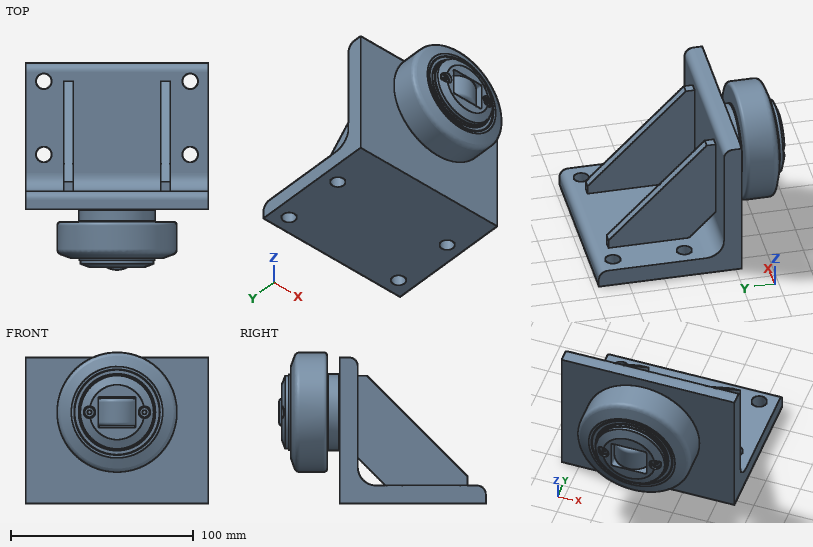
import cadquery as cq
import math


bracket_width = 100.0
bracket_size = 80.0
plate_thickness = 10.0
inner_corner_radius = 10.0
edge_radius = 5.0

rib_thickness = 5.0
rib_inner_x = 24.0
rib_setback = 10.0
rib_reach = bracket_size - rib_setback
rib_end_height = 5.0
rib_corner_cut = 15.0

mount_hole_diameter = 8.38
mount_hole_x = 40.0
mount_hole_y = (30.0, 70.0)

axis_z = 50.0
roller_radius = 65.5 / 2
roller_back = 6.75
roller_width = 20.0
roller_front = roller_back + roller_width
roller_face_radius = 50.0 / 2
roller_cone_angle = 20.0
roller_back_fillet = 2.0
roller_front_fillet = 3.0

neck_radius = 42.0 / 2
neck_core_radius = 41.5 / 2
neck_wall_gap = 0.5
neck_rim_width = 0.3
neck_groove_width = 0.3

seal_seat_radius = 47.0 / 2
seal_outer_radius = 46.3 / 2
seal_inner_radius = 42.1 / 2
seal_gap_depth = 0.5
hub_step_radius = 41.5 / 2
hub_step_projection = 1.1
hub_step_front = roller_front + hub_step_projection
hub_radius = 40.0 / 2
hub_projection = 5.0
hub_front = roller_front + hub_projection
hub_cone_depth = 2.0
hub_cone_start = hub_front - hub_cone_depth
hub_face_radius = 30.0 / 2

screw_x = 15.0
screw_bore_diameter = 6.5
screw_bore_depth = 1.7
screw_floor_diameter = 5.35
screw_floor_depth = 2.0
screw_socket_diameter = 2.3
screw_socket_depth = 1.0

window_width = 20.4
window_height = 17.0
window_corner_radius = 1.0
window_depth = 8.0
side_roller_radius = 22.5 / 2
side_roller_length = 15.0
side_roller_fillet = 2.0
side_roller_projection = 1.4

edge_pick_margin = 0.1


def edge_centred_at(y, z):
    """Selector for the edge whose centre lies at (0, y, z)."""
    margin = edge_pick_margin
    return cq.selectors.BoxSelector(
        (-margin, y - margin, z - margin),
        (margin, y + margin, z + margin),
    )


def disc(diameter, back, front):
    """Round bar on the roller axis, between two distances ahead of the wall."""
    plane = cq.Workplane("XZ", origin=(0, -back, axis_z))
    return plane.circle(diameter / 2).extrude(front - back)


def turned(profile):
    """Revolve a closed (radius, distance ahead of the wall) outline about the roller axis."""
    points = [(radius, -distance) for radius, distance in profile]
    body = cq.Workplane("XY").polyline(points).close().revolve(360, (0, 0, 0), (0, 1, 0))
    return body.translate((0, 0, axis_z))


def make_bracket():
    angle = (
        cq.Workplane("YZ")
        .polyline([
            (0, 0),
            (bracket_size, 0),
            (bracket_size, plate_thickness),
            (plate_thickness, plate_thickness),
            (plate_thickness, bracket_size),
            (0, bracket_size),
        ])
        .close()
        .extrude(bracket_width / 2, both=True)
    )

    angle = angle.edges(edge_centred_at(plate_thickness, plate_thickness)).fillet(inner_corner_radius)
    angle = angle.edges(edge_centred_at(bracket_size, plate_thickness)).fillet(edge_radius)
    angle = angle.edges(edge_centred_at(plate_thickness, bracket_size)).fillet(edge_radius)
    holes = (
        cq.Workplane("XY")
        .pushPoints([(side * mount_hole_x, y) for side in (-1, 1) for y in mount_hole_y])
        .circle(mount_hole_diameter / 2)
        .extrude(plate_thickness)
    )
    return angle.cut(holes)


def make_rib(start_x):
    inner = plate_thickness
    cut_end = inner + rib_corner_cut
    shoulder = inner + rib_end_height
    return (
        cq.Workplane("YZ", origin=(start_x, 0, 0))
        .polyline([
            (inner, cut_end),
            (cut_end, inner),
            (rib_reach, inner),
            (rib_reach, shoulder),
            (shoulder, rib_reach),
            (inner, rib_reach),
        ])
        .close()
        .extrude(rib_thickness)
    )


def make_neck():
    rim_start = roller_back - neck_rim_width
    groove_start = rim_start - neck_groove_width
    return turned([
        (0, 0),
        (neck_core_radius, 0),
        (neck_core_radius, neck_wall_gap),
        (neck_radius, neck_wall_gap),
        (neck_radius, groove_start),
        (neck_core_radius, groove_start),
        (neck_core_radius, rim_start),
        (neck_radius, rim_start),
        (neck_radius, roller_back),
        (0, roller_back),
    ])


def seal_gap(outer_radius, inner_radius):
    """Narrow ring-shaped groove sunk into the front face of the roller."""
    floor = roller_front - seal_gap_depth
    ring = disc(2 * outer_radius, floor, roller_front)
    return ring.cut(disc(2 * inner_radius, floor, roller_front))


def make_roller():
    cone_length = (roller_radius - roller_face_radius) * math.tan(math.radians(roller_cone_angle))
    cone_start = roller_front - cone_length
    roller = turned([
        (0, roller_back),
        (roller_radius, roller_back),
        (roller_radius, cone_start),
        (roller_face_radius, roller_front),
        (0, roller_front),
    ])

    roller = roller.edges(edge_centred_at(-roller_back, axis_z)).fillet(roller_back_fillet)
    roller = roller.edges(edge_centred_at(-cone_start, axis_z)).fillet(roller_front_fillet)
    outer_gap = seal_gap(seal_seat_radius, seal_outer_radius)
    inner_gap = seal_gap(seal_inner_radius, hub_step_radius)
    return roller.cut(outer_gap).cut(inner_gap)


def make_hub():
    return turned([
        (0, roller_back),
        (hub_step_radius, roller_back),
        (hub_step_radius, hub_step_front),
        (hub_radius, hub_step_front),
        (hub_radius, hub_cone_start),
        (hub_face_radius, hub_front),
        (0, hub_front),
    ])


def make_screw_recess(x):
    """Bore with a tapered bottom around the screw head, and the socket in the head."""
    bore_radius = screw_bore_diameter / 2
    floor_radius = screw_floor_diameter / 2
    socket_radius = screw_socket_diameter / 2
    taper_start = hub_front - screw_bore_depth
    floor = hub_front - screw_floor_depth
    socket_floor = floor - screw_socket_depth
    recess = turned([
        (0, hub_front),
        (bore_radius, hub_front),
        (bore_radius, taper_start),
        (floor_radius, floor),
        (socket_radius, floor),
        (socket_radius, socket_floor),
        (0, socket_floor),
    ])
    return recess.translate((x, 0, 0))


def make_window():
    return (
        cq.Workplane("XZ", origin=(0, window_depth - hub_front, axis_z))
        .rect(window_width, window_height)
        .extrude(window_depth)
        .edges("|Y")
        .fillet(window_corner_radius)
    )


def make_side_roller():
    axis_y = side_roller_radius - hub_front - side_roller_projection
    wheel = (
        cq.Workplane("XY", origin=(0, axis_y, axis_z))
        .circle(side_roller_radius)
        .extrude(side_roller_length / 2, both=True)
        .edges()
        .fillet(side_roller_fillet)
    )
    window_space = (
        cq.Workplane("XZ", origin=(0, window_depth - hub_front, axis_z))
        .rect(window_width, window_height)
        .extrude(window_depth + side_roller_projection)
    )
    return wheel.intersect(window_space)


result = make_bracket()
for rib_start in (-rib_inner_x - rib_thickness, rib_inner_x):
    result = result.union(make_rib(rib_start))
result = result.union(make_neck()).union(make_roller()).union(make_hub())
for side in (-1, 1):
    result = result.cut(make_screw_recess(side * screw_x))
result = result.cut(make_window()).union(make_side_roller())